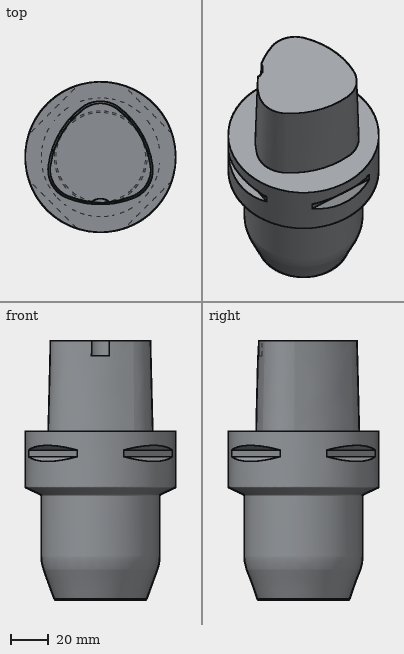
import cadquery as cq
import math

total_height = 138.0
flange_top = 90.0
flange_bottom = 60.0

flange_diameter = 80.0
body_diameter = 63.0
flange_cone_height = 4.0
flange_edge_fillet = 0.8
edge_search_margin = 1.4
nose_height = 23.3
nose_angle = 20.0
nose_blend_radius = 20.0
end_chamfer = 0.8

side_directions = (-90, 30, 150)
half_lobe_pitch = 60
lobe_radius = 16.1
lobe_center_distance = 13.5
flat_distance = 25.3
taper_per_side = 1 / 40

notch_depth = 8.0
notch_radius = 6.9
notch_floor_distance = 22.1

groove_count = 4
groove_first_angle = 45.0
groove_height = 78.1
groove_floor_width = 3.5
groove_floor_distance = 35.6
groove_wall_angle = 30.0
groove_overshoot = 1.4


def polar(distance, angle):
    a = math.radians(angle)
    return (distance * math.cos(a), distance * math.sin(a))


def make_body():
    flange_radius = flange_diameter / 2
    body_radius = body_diameter / 2
    angle = math.radians(nose_angle)

    blend_center = body_radius - nose_blend_radius
    blend_end_r = blend_center + nose_blend_radius * math.cos(angle)
    blend_end_z = nose_height - nose_blend_radius * math.sin(angle)
    blend_mid_r = blend_center + nose_blend_radius * math.cos(angle / 2)
    blend_mid_z = nose_height - nose_blend_radius * math.sin(angle / 2)
    cone_end_r = blend_end_r - (blend_end_z - end_chamfer) * math.tan(angle)

    body = (
        cq.Workplane("XZ")
        .lineTo(cone_end_r - end_chamfer, 0)
        .lineTo(cone_end_r, end_chamfer)
        .lineTo(blend_end_r, blend_end_z)
        .threePointArc((blend_mid_r, blend_mid_z), (body_radius, nose_height))
        .lineTo(body_radius, flange_bottom - flange_cone_height)
        .lineTo(flange_radius, flange_bottom)
        .lineTo(flange_radius, flange_top)
        .lineTo(0, flange_top)
        .close()
        .revolve(360, (0, 0, 0), (0, 1, 0))
    )
    cone_edges = cq.selectors.BoxSelector(
        (-flange_diameter, -flange_diameter, flange_bottom - flange_cone_height - edge_search_margin),
        (flange_diameter, flange_diameter, flange_bottom + edge_search_margin),
        boundingbox=True,
    )
    return body.edges(cone_edges).edges("%CIRCLE").fillet(flange_edge_fillet)


def make_shank():
    lobe_x = lobe_center_distance * math.sin(math.radians(half_lobe_pitch))
    lobe_y = lobe_center_distance * math.cos(math.radians(half_lobe_pitch))
    reach = flat_distance - lobe_radius
    side_center = (lobe_center_distance**2 - reach**2) / (2 * (reach - lobe_y))
    side_radius = side_center + flat_distance
    half_side_angle = math.degrees(math.atan2(lobe_x, side_center + lobe_y))
    join_x = side_radius * math.sin(math.radians(half_side_angle))
    join_y = side_center - side_radius * math.cos(math.radians(half_side_angle))
    join_distance = math.hypot(join_x, join_y)
    join_angle = math.degrees(math.atan2(join_x, -join_y))

    apex_distance = lobe_center_distance + lobe_radius
    outline = cq.Workplane("XY").workplane(offset=flange_top)
    outline = outline.moveTo(*polar(join_distance, -90 - join_angle))
    for side_direction in side_directions:
        side_end = polar(join_distance, side_direction + join_angle)
        outline = outline.threePointArc(polar(flat_distance, side_direction), side_end)
        lobe_end = polar(join_distance, side_direction + 2 * half_lobe_pitch - join_angle)
        outline = outline.threePointArc(polar(apex_distance, side_direction + half_lobe_pitch), lobe_end)
    taper_angle = math.degrees(math.atan(taper_per_side))
    return outline.close().extrude(total_height - flange_top, taper=taper_angle)


def make_notch():
    return (
        cq.Workplane("XY")
        .workplane(offset=total_height - notch_depth)
        .center(0, -notch_floor_distance - notch_radius)
        .circle(notch_radius)
        .extrude(notch_depth)
    )


def make_groove(angle):
    depth = flange_diameter / 2 - groove_floor_distance + groove_overshoot
    inner = groove_floor_width / 2
    outer = inner + depth * math.tan(math.radians(groove_wall_angle))
    section = [
        (groove_floor_distance, groove_height - inner),
        (groove_floor_distance + depth, groove_height - outer),
        (groove_floor_distance + depth, groove_height + outer),
        (groove_floor_distance, groove_height + inner),
    ]
    groove = cq.Workplane("XZ").polyline(section).close().extrude(flange_diameter / 2, both=True)
    return groove.rotate((0, 0, 0), (0, 0, 1), angle)


result = make_body().union(make_shank()).cut(make_notch())
for i in range(groove_count):
    result = result.cut(make_groove(groove_first_angle + i * 360 / groove_count))